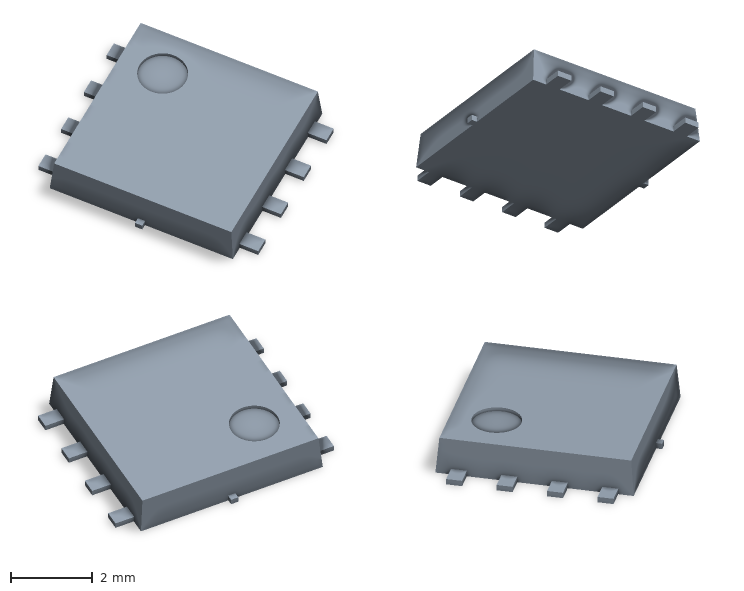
import cadquery as cq

base_side = 5.0
top_side = 4.835
height = 0.95

marker_diameter = 1.25
marker_offset = 1.25
marker_depth = 0.1

sheet_thickness = 0.15
lead_span = 6.0
lead_width = 0.4
lead_pitch = 1.27
lead_count = 4
tie_bar_span = 5.3
tie_bar_width = 0.2
pad_left_edge = -1.0

lead_overhang = (lead_span - base_side) / 2
lead_length = 2 * lead_overhang
lead_center_x = (lead_span - lead_length) / 2
lead_inner_end = lead_span / 2 - lead_length
lead_row_length = (lead_count - 1) * lead_pitch
lead_rows = [i * lead_pitch - lead_row_length / 2 for i in range(lead_count)]


def make_strip(length, width, center_x, center_y):
    """Flat rectangular metal strip lying on the bottom plane."""
    strip = cq.Workplane("XY").box(length, width, sheet_thickness, centered=(True, True, False))
    return strip.translate((center_x, center_y, 0))


def make_lead(side, row_y):
    """One lead; side is -1 for the -X row and +1 for the +X row."""
    return make_strip(lead_length, lead_width, side * lead_center_x, row_y)


def make_drain_frame():
    """Pad under the housing, joined to the +X leads and the two tie bar ends."""
    pad_length = lead_inner_end - pad_left_edge
    pad_width = lead_row_length + lead_width
    pad_center_x = (lead_inner_end + pad_left_edge) / 2
    frame = make_strip(pad_length, pad_width, pad_center_x, 0)
    frame = frame.union(make_strip(tie_bar_width, tie_bar_span, 0, 0))
    for row_y in lead_rows:
        frame = frame.union(make_lead(1, row_y))
    return frame


def make_housing(metal_parts):
    """Tapered block with a round marker recess and pockets that fit the metal parts."""
    block = (
        cq.Workplane("XY")
        .rect(base_side, base_side)
        .workplane(offset=height)
        .rect(top_side, top_side)
        .loft(ruled=True)
    )
    marker = (
        cq.Workplane("XY", origin=(-marker_offset, marker_offset, height - marker_depth))
        .circle(marker_diameter / 2)
        .extrude(marker_depth)
    )
    block = block.cut(marker)
    for metal_part in metal_parts:
        block = block.cut(metal_part)
    return block


leads = [make_lead(-1, row_y) for row_y in lead_rows]
drain_frame = make_drain_frame()
housing = make_housing([*leads, drain_frame])

result = cq.Compound.makeCompound(
    [housing.solids().val(), drain_frame.solids().val(), *[lead.val() for lead in leads]]
)